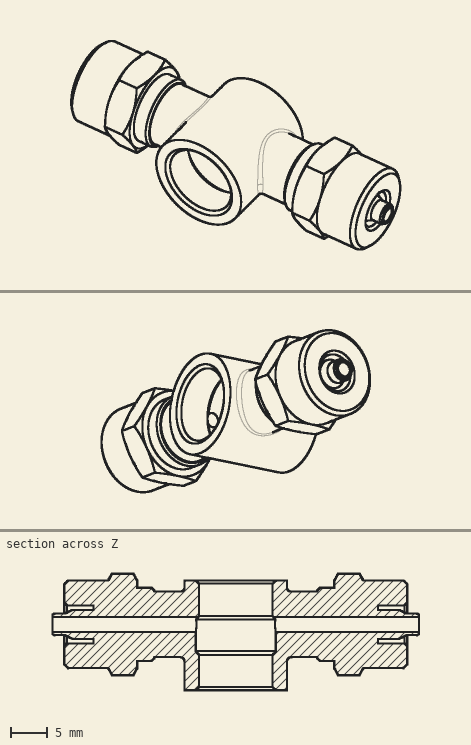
import cadquery as cq
import math

barrel_diameter = 14
barrel_back = 6
barrel_length = 15
bore_diameter = 10
bore_mouth_diameter = 11
bore_chamfer_length = 0.45
recess_diameter = 10.9
recess_inset = 4.85
recess_taper_length = 0.5

arm_end = 25
nut_face = 23.4
hex_outer = 17.4
hex_inner = 13.4
collar_end = 11.1

neck_diameter = 9
neck_fillet = 0.5
collar_diameter = 10
collar_chamfer = 0.35
nut_diameter = 12
nut_chamfer = 0.55
hex_flats = 12
hex_corners = hex_flats / math.cos(math.pi / 6)
hex_chamfer_angle = 30

socket_mouth_diameter = 6
socket_diameter = 5.15
socket_depth = 4
socket_chamfer = (socket_mouth_diameter - socket_diameter) / 2
spigot_diameter = 3
spigot_tip_diameter = 2.65
spigot_tip_length = 0.3
barb_diameter = 4
barb_start = 23.25
barb_cone_length = 1
passage_diameter = 2


def rod(start, end, diameter):
    """Cylinder on the X axis between two stations."""
    return cq.Workplane("YZ").workplane(offset=start).circle(diameter / 2).extrude(end - start)


def hexagon():
    """Hexagon with flats facing up and down and conically trimmed corners."""
    prism = cq.Workplane("YZ").workplane(offset=hex_inner).polygon(6, hex_corners)
    prism = prism.extrude(hex_outer - hex_inner)
    overlap = (hex_corners - hex_flats) / 2
    trim_depth = 2 * overlap * math.tan(math.radians(hex_chamfer_angle))
    envelope = rod(hex_inner, hex_outer, hex_flats + 4 * overlap)
    envelope = envelope.faces("<X or >X").edges().chamfer(trim_depth, 2 * overlap)
    return prism.intersect(envelope)


def spigot():
    """Barbed tube spigot, stepping up through a cone inside the socket."""
    barb_end = barb_start - barb_cone_length
    profile = [
        (hex_outer, 0),
        (hex_outer, barb_diameter / 2),
        (barb_end, barb_diameter / 2),
        (barb_start, spigot_diameter / 2),
        (arm_end - spigot_tip_length, spigot_diameter / 2),
        (arm_end, spigot_tip_diameter / 2),
        (arm_end, 0),
    ]
    return cq.Workplane("XY").polyline(profile).close().revolve(360, (0, 0, 0), (1, 0, 0))


def fitting():
    """Collar, hexagon, nut and spigot at the +X end."""
    collar = rod(collar_end, hex_inner, collar_diameter)
    collar = collar.edges("<X").chamfer(collar_chamfer)
    nut = rod(hex_outer, nut_face, nut_diameter).faces(">X").chamfer(nut_chamfer)
    socket = rod(nut_face - socket_depth, nut_face, socket_diameter)
    mouth = cq.Workplane("YZ").workplane(offset=nut_face).circle(socket_mouth_diameter / 2)
    mouth = mouth.extrude(-socket_chamfer, taper=45)
    return collar.union(hexagon()).union(nut).cut(socket).cut(mouth).union(spigot())


def body():
    """Barrel with both necks blended into it."""
    barrel = cq.Workplane("XZ", origin=(0, barrel_back, 0)).circle(barrel_diameter / 2).extrude(barrel_length)
    joined = barrel.union(rod(-collar_end, collar_end, neck_diameter))
    half_width = barrel_diameter / 2 + neck_fillet
    joint_zone = cq.selectors.BoxSelector(
        (-half_width, -neck_diameter / 2, -half_width),
        (half_width, neck_diameter / 2, half_width),
    )
    return joined.edges(joint_zone).edges("not %LINE").fillet(neck_fillet)


def bore():
    """Through bore with flared mouths and a wider recess tapering in at both ends."""
    front = barrel_back - barrel_length
    half_profile = [
        (bore_mouth_diameter / 2, 0),
        (bore_diameter / 2, bore_chamfer_length),
        (bore_diameter / 2, recess_inset),
        (recess_diameter / 2, recess_inset + recess_taper_length),
    ]
    profile = [(radius, front + depth) for radius, depth in half_profile]
    profile += [(radius, barrel_back - depth) for radius, depth in reversed(half_profile)]
    profile = [(0, front)] + profile + [(0, barrel_back)]
    return cq.Workplane("XY").polyline(profile).close().revolve(360, (0, 0, 0), (0, 1, 0))


right_fitting = fitting()
result = body().union(right_fitting).union(right_fitting.mirror("YZ"))
passage = rod(-arm_end, arm_end, passage_diameter)
result = result.cut(bore()).cut(passage)